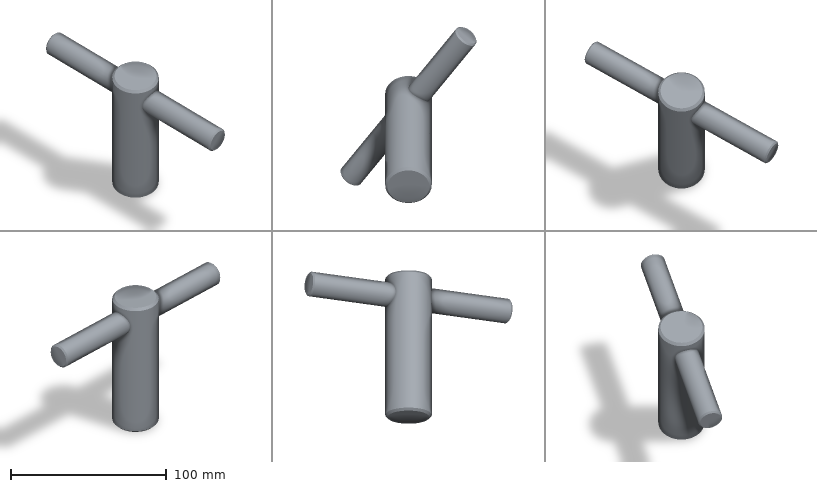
import cadquery as cq

bar_length = 140.0
bar_diameter = 16.0
bar_chamfer = 1.0
body_diameter = 30.0
body_height = 95.0
body_chamfer = 1.5
bar_axis_depth = 14.0

bar_axis_height = body_height - bar_axis_depth


def make_body():
    """Upright cylinder standing on Z = 0, chamfered at both ends."""
    body = cq.Workplane("XY").circle(body_diameter / 2).extrude(body_height)
    return body.faces("<Z or >Z").chamfer(body_chamfer)


def make_cross_bar():
    """Round bar along X, centred on the body axis and chamfered at both ends."""
    bar = (
        cq.Workplane("YZ")
        .center(0, bar_axis_height)
        .circle(bar_diameter / 2)
        .extrude(bar_length / 2, both=True)
    )
    return bar.faces("<X or >X").chamfer(bar_chamfer)


result = make_body().union(make_cross_bar())